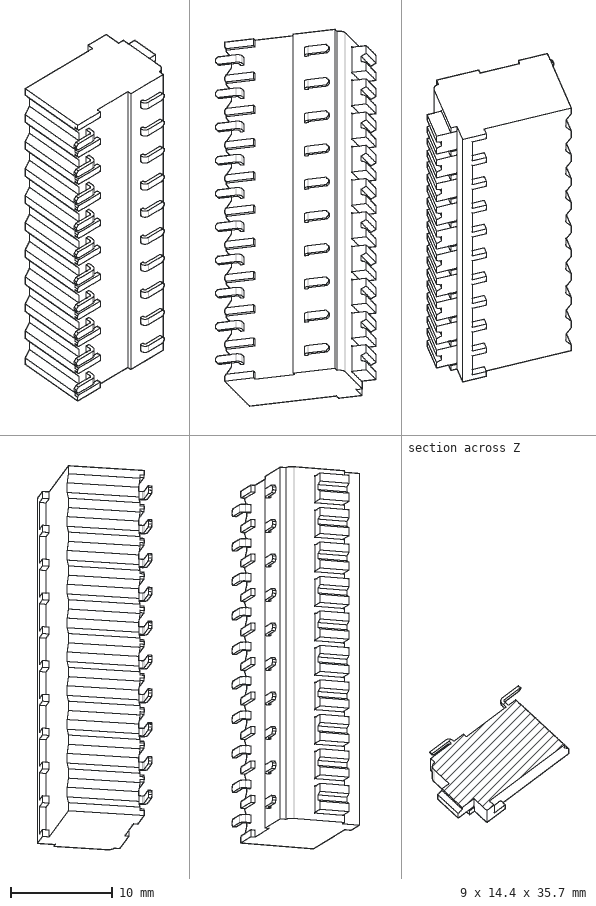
import cadquery as cq


pole_count = 10
pole_pitch = 3.5
length = 35.7
first_pole_z = (length - (pole_count - 1) * pole_pitch) / 2
pole_centers = [first_pole_z + i * pole_pitch for i in range(pole_count)]

wall_x = 0.68
floor_x = 7.93
foot_x = 8.35
shoulder_y = 11.53
crown_y = 12.17
crown_start_x = 1.82
crown_end_x = 7.75
crown_round = 0.6
upper_foot_y = 7.15
lower_foot_y = 3.05

lip_strip_y = 10.53
lip_finger_y = 9.05
bay_height = 2.8

groove_depth = 0.57
groove_outer = 2.55
groove_inner = 1.0

rib_gap = 3.2
rib_chamfer_depth = 0.1

button_x = 1.9
button_width = 3.05
button_end_x = button_x + button_width
button_height = 2.65
button_top_y = 13.65
notch_depth = 0.55
notch_outer = 1.0
notch_inner = 0.5

pin_height = 0.8
pin_thickness = 0.35
pin_outer_x = 9.0
pin_axis_x = pin_outer_x - pin_thickness / 2
pin_root_x = 7.5
pin_tip_y = -0.75
pin_reach = 2.15
pin_bend_radius = 0.15
pin_axis_radius = pin_bend_radius + pin_thickness / 2
tip_chamfer = 0.25
lower_bend_y = pin_tip_y + pin_reach
upper_bend_y = 8.92


def on_every_pole(feature):
    """Copies of one pole feature, gathered over all poles."""
    return cq.Workplane(cq.Compound.makeCompound([feature(z).val() for z in pole_centers]))


def box(x0, x1, y0, y1, z0, z1):
    """Box between the given limits."""
    return cq.Workplane("XY").box(x1 - x0, y1 - y0, z1 - z0, centered=False).translate((x0, y0, z0))


def pole_box(x0, x1, y0, y1, z, height):
    """Box centred on height z."""
    return box(x0, x1, y0, y1, z - height / 2, z + height / 2)


def side_trapezoid(x0, x1, y_outer, y_inner, z, outer, inner):
    """Prism along X, tapering from width outer at y_outer to width inner at y_inner."""
    points = [
        (y_outer, z - outer / 2),
        (y_inner, z - inner / 2),
        (y_inner, z + inner / 2),
        (y_outer, z + outer / 2),
    ]
    return cq.Workplane("YZ").polyline(points).close().extrude(x1 - x0).translate((x0, 0, 0))


def make_housing():
    body = box(wall_x, floor_x, 0, shoulder_y, 0, length)
    lip = box(0, wall_x, lip_finger_y, shoulder_y, 0, length)
    crown = box(crown_start_x, crown_end_x, upper_foot_y, crown_y, 0, length)
    crown = crown.edges("|Z and >X and >Y").fillet(crown_round)
    lower_foot = box(floor_x, foot_x, 0, lower_foot_y, 0, length)
    upper_foot = box(floor_x, foot_x, upper_foot_y, shoulder_y, 0, length)
    return body.union(lip).union(crown).union(lower_foot).union(upper_foot)


def make_groove(z):
    return side_trapezoid(wall_x, floor_x, 0, groove_depth, z, groove_outer, groove_inner)


def make_lip_bay(z):
    return pole_box(0, wall_x, lip_finger_y, lip_strip_y, z, bay_height)


def make_button_slot(z):
    return pole_box(crown_start_x, button_end_x, shoulder_y, crown_y, z, bay_height)


def make_foot_gap(z):
    """Gap between two ribs of the lower foot, widened by a bevel at the front."""
    gap = pole_box(floor_x, foot_x, 0, lower_foot_y, z, bay_height)
    bevel = side_trapezoid(floor_x, foot_x, 0, rib_chamfer_depth, z, rib_gap, bay_height)
    return gap.union(bevel)


def make_button(z):
    button = pole_box(button_x, button_end_x, shoulder_y, button_top_y, z, button_height)
    notch_floor_y = button_top_y - notch_depth
    notch = side_trapezoid(button_x, button_end_x, button_top_y, notch_floor_y, z, notch_outer, notch_inner)
    return button.cut(notch)


def make_pin(z, bend_y, direction):
    """Pin leaving the housing rearwards, then bent to run along Y in the given direction."""
    path = (
        cq.Workplane("XY")
        .moveTo(pin_root_x, bend_y - direction * pin_axis_radius)
        .lineTo(pin_axis_x - pin_axis_radius, bend_y - direction * pin_axis_radius)
        .tangentArcPoint((pin_axis_x, bend_y), relative=False)
        .lineTo(pin_axis_x, bend_y + direction * pin_reach)
    )
    section = cq.Workplane("YZ", origin=(pin_root_x, bend_y - direction * pin_axis_radius, 0))
    pin = section.rect(pin_thickness, pin_height).sweep(path)
    tip = ">Y" if direction > 0 else "<Y"
    return pin.faces(tip).edges("|X").chamfer(tip_chamfer).translate((0, 0, z))


def make_lower_pin(z):
    return make_pin(z, lower_bend_y, -1)


def make_upper_pin(z):
    return make_pin(z, upper_bend_y, 1)


result = make_housing()
for cutter in (make_groove, make_lip_bay, make_button_slot, make_foot_gap):
    result = result.cut(on_every_pole(cutter))
for addition in (make_button, make_lower_pin, make_upper_pin):
    result = result.union(on_every_pole(addition))
result = result.solids()